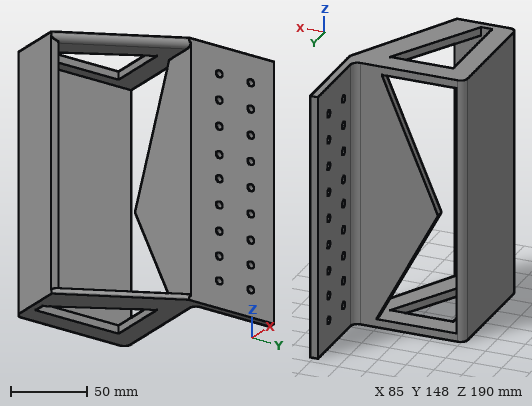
import cadquery as cq

width = 85.0
depth = 148.0
height = 190.0
wall = 6.0
flange_thickness = 5.5
box_depth = 88.0
slope_start_x = 42.5
front_wall_width = 42.0
slope_end_y = 80.4
corner_radius = 5.0
cap_edge_radius = 5.0

cap_hole_left = 15.0
cap_hole_back = 71.8
cap_hole_front_right = 22.8
cap_hole_back_right = 60.0

web_top_x = 59.2
web_bottom_x = 63.0
web_tip_x = 19.0
web_tip_z = 89.0

hole_diameter = 5.0
outer_column_y = 129.5
inner_column_y = 104.5
row_heights = [20.0, 38.0, 56.0, 75.0, 94.0, 113.0, 132.0, 151.0, 170.0]
shifted_row = 113.0
row_shift = 1.5

flange_left = width - flange_thickness
inner_back = box_depth - wall
inner_top = height - wall


def box_outline():
    """Outline of the box without the flange, on the XY plane."""
    return (
        cq.Workplane("XY")
        .moveTo(0, 0)
        .lineTo(slope_start_x, 0)
        .lineTo(width, slope_end_y)
        .lineTo(width, box_depth)
        .lineTo(0, box_depth)
        .close()
    )


def make_walls():
    """Left, front and back walls over the full height, open on the sloped side."""
    left_wall = cq.Workplane("XY").box(wall, box_depth, height, centered=False)
    front_wall = cq.Workplane("XY").box(front_wall_width, wall, height, centered=False)
    back_wall = cq.Workplane("XY").box(width, wall, height, centered=False)
    return left_wall.union(front_wall).union(back_wall.translate((0, inner_back, 0)))


def make_bottom_cap():
    """End cap with its upper edge rounded along the sloped side and an opening through it."""
    slope_middle = ((slope_start_x + width) / 2, slope_end_y / 2, wall)
    cap = box_outline().extrude(wall)
    cap = cap.edges(cq.selectors.NearestToPointSelector(slope_middle)).fillet(cap_edge_radius)
    opening = (
        cq.Workplane("XY")
        .moveTo(cap_hole_left, wall)
        .lineTo(cap_hole_front_right, wall)
        .lineTo(cap_hole_back_right, cap_hole_back)
        .lineTo(cap_hole_left, cap_hole_back)
        .close()
        .extrude(wall)
    )
    return cap.cut(opening)


def make_flange():
    """Flange that continues the right side of the box backward."""
    flange_depth = depth - inner_back
    flange = cq.Workplane("XY").box(flange_thickness, flange_depth, height, centered=False)
    return flange.translate((flange_left, inner_back, 0))


def make_web_window():
    """Opening of the back wall around the wedge-shaped web."""
    return (
        cq.Workplane("XZ", origin=(0, box_depth, 0))
        .moveTo(wall, wall)
        .lineTo(web_bottom_x, wall)
        .lineTo(web_tip_x, web_tip_z)
        .lineTo(web_top_x, inner_top)
        .lineTo(wall, inner_top)
        .close()
        .extrude(wall)
    )


def make_flange_holes():
    """Two columns of holes through the flange."""
    centers = []
    for z in row_heights:
        inner_z = z - row_shift if z == shifted_row else z
        centers.append((outer_column_y, z))
        centers.append((inner_column_y, inner_z))
    return (
        cq.Workplane("YZ", origin=(flange_left, 0, 0))
        .pushPoints(centers)
        .circle(hole_diameter / 2)
        .extrude(flange_thickness)
    )


def round_vertical_edge(body, x, y):
    """Round the full-height edge that stands at (x, y)."""
    edge = cq.selectors.NearestToPointSelector((x, y, height / 2))
    return body.edges("|Z").edges(edge).fillet(corner_radius)


bottom_cap = make_bottom_cap()
top_cap = bottom_cap.mirror("XY").translate((0, 0, height))

result = make_walls().union(bottom_cap).union(top_cap).union(make_flange()).clean()
for corner_x, corner_y in [(0, 0), (0, box_depth), (flange_left, box_depth)]:
    result = round_vertical_edge(result, corner_x, corner_y)
result = result.cut(make_web_window()).cut(make_flange_holes())